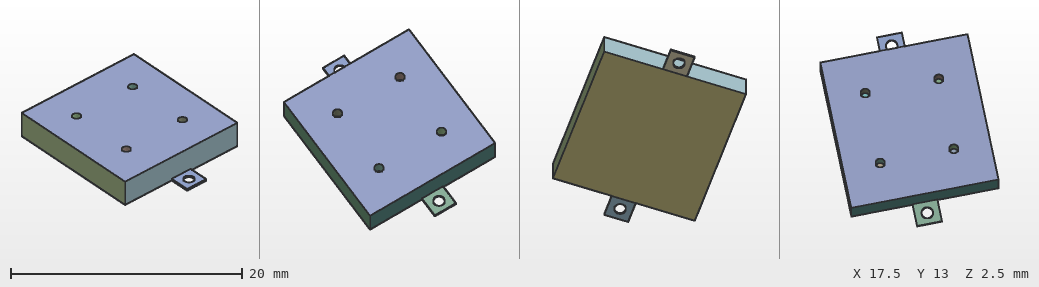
import cadquery as cq

overall_length = 17.5
housing_length = 13.5
housing_width = 13.0
housing_height = 2.5

top_hole_diameter = 0.8
top_hole_spacing = 6.5
top_hole_depth = housing_height / 2

tab_length = (overall_length - housing_length) / 2
tab_width = 2.2
tab_thickness = 0.2
tab_hole_diameter = 1.0
tab_center_x = (housing_length + tab_length) / 2


def make_housing():
    """Block with four blind holes in its top face."""
    block = cq.Workplane("XY").box(
        housing_length, housing_width, housing_height, centered=(True, True, False)
    )
    return (
        block.faces(">Z").workplane()
        .rarray(top_hole_spacing, top_hole_spacing, 2, 2)
        .hole(top_hole_diameter, top_hole_depth)
    )


def make_tab(side):
    """Flat tab with a through hole; side is -1 or +1 along X."""
    plate = cq.Workplane("XY").box(
        tab_length, tab_width, tab_thickness, centered=(True, True, False)
    )
    tab = plate.faces(">Z").workplane().hole(tab_hole_diameter)
    return tab.translate((side * tab_center_x, 0, 0))


housing = make_housing()
tabs = [make_tab(side) for side in (-1, 1)]

result = cq.Compound.makeCompound([housing.val(), *[tab.val() for tab in tabs]])